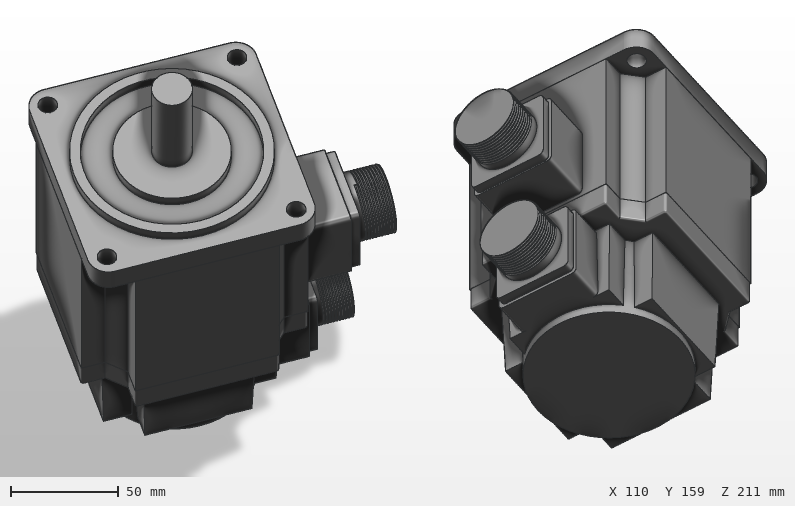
import cadquery as cq
import math

FRAME = 110.0

SHAFT_DIAMETER = 19.0
SHAFT_LENGTH = 48.0

PILOT_DIAMETER = 95.0
PILOT_HEIGHT = 5.0
PILOT_RECESS_DIAMETER = 85.0
BOSS_DIAMETER = 55.0
FLANGE_THICKNESS = 12.0
FLANGE_CORNER_RADIUS = 10.0
BOLT_CIRCLE_DIAMETER = 130.0
BOLT_HOLE_DIAMETER = 9.0

STATOR_LENGTH = 85.0
REAR_CAP_LENGTH = 13.0
REAR_CAP_FILLET = 1.3
FRAME_LOBE_WIDTH = 70.0
FRAME_NOTCH_CHAMFER = 8.5

COVER_LENGTH = 43.0
COVER_SIZE_X = 84.6
COVER_SIZE_Y = 86.4
COVER_LOBE_X = 57.8
COVER_LOBE_Y = 54.6
COVER_DRAFT = 1.7
COVER_DRUM_DIAMETER = 82.6
COVER_DRUM_OVERHANG = 5.0
COVER_DRUM_OFFSET_Y = 1.0

CONNECTOR_BLOCK_WIDTH = 43.2
CONNECTOR_EDGE_FILLET = 2.7
CONNECTOR_PLATE_SIZE = 40.2
CONNECTOR_PLATE_THICKNESS = 4.5
THREAD_DIAMETER = 33.0
THREAD_PLAIN_LENGTH = 3.4
BARREL_LENGTH = 19.0
THREAD_PITCH = 1.5
THREAD_DEPTH = 0.4
THREAD_MOUTH_WIDTH = 1.4

MOTOR_AXIS_Y = 0.0
POWER_BLOCK_HEIGHT = 42.2
POWER_AXIS_BELOW_FLANGE = 61.7
POWER_PLATE_Y = 80.5
SIGNAL_PLATE_Y = 60.0
SIGNAL_AXIS_BELOW_CAP = 21.0

FLANGE_BOTTOM = -FLANGE_THICKNESS
STATOR_BOTTOM = FLANGE_BOTTOM - STATOR_LENGTH
REAR_CAP_BOTTOM = STATOR_BOTTOM - REAR_CAP_LENGTH
COVER_BOTTOM = REAR_CAP_BOTTOM - COVER_LENGTH


def frame_outline():
    """Corner points of a square whose corners are notched down to a 45 degree floor."""
    outer = FRAME / 2
    lobe = FRAME_LOBE_WIDTH / 2
    floor = lobe + FRAME_NOTCH_CHAMFER
    right_side = [
        (lobe, -outer),
        (lobe, -floor),
        (floor, -lobe),
        (outer, -lobe),
        (outer, lobe),
        (floor, lobe),
        (lobe, floor),
        (lobe, outer),
    ]
    left_side = [(-x, y) for x, y in reversed(right_side)]
    return right_side + left_side


def frame_prism(bottom_z, length):
    """Straight prism with the notched frame outline."""
    return (
        cq.Workplane("XY", origin=(0, 0, bottom_z))
        .polyline(frame_outline())
        .close()
        .extrude(length)
    )


def thread_groove(length):
    """Right-hand helical V groove around local Z, starting at Z = 0."""
    radius = THREAD_DIAMETER / 2
    overcut = 0.02
    mouth_half = THREAD_MOUTH_WIDTH / 2 * (THREAD_DEPTH + overcut) / THREAD_DEPTH
    helix = cq.Workplane(cq.Wire.makeHelix(THREAD_PITCH, length, radius))
    profile = cq.Workplane("XZ").polyline([
        (radius - THREAD_DEPTH, 0),
        (radius + overcut, -mouth_half),
        (radius + overcut, mouth_half),
    ]).close()
    return profile.sweep(helix, isFrenet=True)


def connector_end(plate_y, axis_z):
    """Square plate and threaded barrel pointing to +Y, starting at plate_y."""
    plate = (
        cq.Workplane("XY")
        .rect(CONNECTOR_PLATE_SIZE, CONNECTOR_PLATE_SIZE)
        .extrude(CONNECTOR_PLATE_THICKNESS)
        .edges("|Z")
        .fillet(CONNECTOR_EDGE_FILLET)
    )
    barrel_start = CONNECTOR_PLATE_THICKNESS
    barrel = (
        cq.Workplane("XY")
        .workplane(offset=barrel_start)
        .circle(THREAD_DIAMETER / 2)
        .extrude(BARREL_LENGTH + 2 * THREAD_PITCH)
    )
    thread_start = barrel_start + THREAD_PLAIN_LENGTH + THREAD_MOUTH_WIDTH / 2
    thread_length = BARREL_LENGTH - THREAD_PLAIN_LENGTH + THREAD_PITCH
    groove = thread_groove(thread_length).translate((0, 0, thread_start))
    barrel_envelope = (
        cq.Workplane("XY")
        .workplane(offset=barrel_start)
        .rect(CONNECTOR_PLATE_SIZE, CONNECTOR_PLATE_SIZE)
        .extrude(BARREL_LENGTH)
    )
    threaded_barrel = barrel.cut(groove).intersect(barrel_envelope)
    local_shape = plate.union(threaded_barrel).val()
    seat = cq.Plane(origin=(0, plate_y, axis_z), xDir=(0, 0, 1), normal=(0, 1, 0))
    return cq.Workplane(local_shape.moved(cq.Location(seat)))


def connector_block(start_y, end_y, bottom_z, height):
    """Block along Y with its four long edges rounded."""
    length = end_y - start_y
    return (
        cq.Workplane("XY")
        .box(CONNECTOR_BLOCK_WIDTH, length, height)
        .edges("|Y")
        .fillet(CONNECTOR_EDGE_FILLET)
        .translate((0, start_y + length / 2, bottom_z + height / 2))
    )


def make_flange():
    """Mounting flange with its pilot rim, recess, central boss and output shaft."""
    bolt_spacing = BOLT_CIRCLE_DIAMETER / math.sqrt(2)
    plate = (
        cq.Workplane("XY")
        .rect(FRAME, FRAME)
        .extrude(-FLANGE_THICKNESS)
        .edges("|Z")
        .fillet(FLANGE_CORNER_RADIUS)
    )
    holes = (
        cq.Workplane("XY")
        .rect(bolt_spacing, bolt_spacing, forConstruction=True)
        .vertices()
        .circle(BOLT_HOLE_DIAMETER / 2)
        .extrude(-FLANGE_THICKNESS)
    )
    pilot_rim = (
        cq.Workplane("XY")
        .circle(PILOT_DIAMETER / 2)
        .circle(PILOT_RECESS_DIAMETER / 2)
        .extrude(PILOT_HEIGHT)
    )
    boss = cq.Workplane("XY").circle(BOSS_DIAMETER / 2).extrude(PILOT_HEIGHT)
    shaft = cq.Workplane("XY").circle(SHAFT_DIAMETER / 2).extrude(PILOT_HEIGHT + SHAFT_LENGTH)
    return plate.cut(holes).union(pilot_rim).union(boss).union(shaft)


def make_stator():
    """Notched stator housing with the power connector on its +Y side."""
    housing = frame_prism(STATOR_BOTTOM, STATOR_LENGTH)
    axis_z = FLANGE_BOTTOM - POWER_AXIS_BELOW_FLANGE
    bottom_z = axis_z - POWER_BLOCK_HEIGHT / 2
    block = connector_block(MOTOR_AXIS_Y, POWER_PLATE_Y, bottom_z, POWER_BLOCK_HEIGHT)
    return housing.union(block).union(connector_end(POWER_PLATE_Y, axis_z))


def make_rear_cap():
    """Plate with the stator outline, its outer corners and lower rim rounded."""
    outer_corners = [(x, y) for x, y in frame_outline() if FRAME / 2 in (abs(x), abs(y))]
    cap = frame_prism(REAR_CAP_BOTTOM, REAR_CAP_LENGTH)
    for x, y in outer_corners:
        middle = (x, y, REAR_CAP_BOTTOM + REAR_CAP_LENGTH / 2)
        cap = cap.edges(cq.NearestToPointSelector(middle)).fillet(REAR_CAP_FILLET)
    return cap.faces("<Z").edges().fillet(REAR_CAP_FILLET)


def cover_slab(size_x, size_y):
    """Block under the rear cap, tapering downwards by the cover draft."""
    return (
        cq.Workplane("XY", origin=(0, 0, REAR_CAP_BOTTOM))
        .rect(size_x, size_y)
        .extrude(-COVER_LENGTH, taper=COVER_DRAFT)
    )


def make_encoder_cover():
    """Drafted cross of two slabs around a conical drum, with the signal connector on +Y."""
    cross = cover_slab(COVER_SIZE_X, COVER_LOBE_Y).union(cover_slab(COVER_LOBE_X, COVER_SIZE_Y))
    drum = (
        cq.Workplane("XY", origin=(0, COVER_DRUM_OFFSET_Y, REAR_CAP_BOTTOM))
        .circle(COVER_DRUM_DIAMETER / 2)
        .extrude(-COVER_LENGTH - COVER_DRUM_OVERHANG, taper=COVER_DRAFT)
    )
    axis_z = REAR_CAP_BOTTOM - SIGNAL_AXIS_BELOW_CAP
    block = connector_block(MOTOR_AXIS_Y, SIGNAL_PLATE_Y, COVER_BOTTOM, COVER_LENGTH)
    return cross.union(drum).union(block).union(connector_end(SIGNAL_PLATE_Y, axis_z))


flange = make_flange()
stator = make_stator()
rear_cap = make_rear_cap()
encoder_cover = make_encoder_cover()

result = cq.Compound.makeCompound([
    flange.solids().val(),
    stator.solids().val(),
    rear_cap.solids().val(),
    encoder_cover.solids().val(),
])